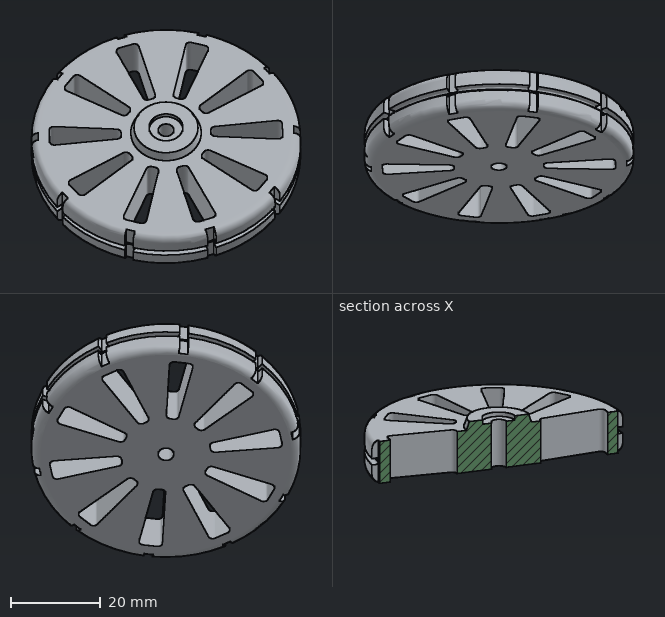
import cadquery as cq
import math

disc_diameter = 60.0
disc_radius = disc_diameter / 2
total_height = 12.0
boss_height = 2.0
disc_height = total_height - boss_height
rim_fillet = 2.0

boss_base_radius = 7.85
boss_top_radius = 7.15
bore_radius = 1.75
counterbore_radius = 3.8
counterbore_depth = 1.0

spoke_count = 10
spoke_angle = 360 / spoke_count

window_inner_radius = 10.0
window_outer_radius = 26.0
window_inner_width = 2.65
window_outer_width = 5.4
window_corner_radius = 1.0

rim_slot_width = 2.0
rim_slot_depth = 1.5

groove_width = 1.5
groove_depth = 1.5
groove_corner_radius = 0.55


def make_disc():
    disc = cq.Workplane("XY").circle(disc_radius).extrude(disc_height)
    return disc.faces("<Z or >Z").edges().fillet(rim_fillet)


def make_boss():
    taper = math.degrees(math.atan2(boss_base_radius - boss_top_radius, boss_height))
    boss = cq.Workplane("XY").workplane(offset=disc_height).circle(boss_base_radius)
    return boss.extrude(boss_height, taper=taper)


def make_bore():
    bore = cq.Workplane("XY").circle(bore_radius).extrude(total_height)
    counterbore_floor = total_height - counterbore_depth
    counterbore = cq.Workplane("XY").workplane(offset=counterbore_floor).circle(counterbore_radius)
    return bore.union(counterbore.extrude(counterbore_depth))


def make_window():
    outline = [
        (-window_inner_width / 2, window_inner_radius),
        (window_inner_width / 2, window_inner_radius),
        (window_outer_width / 2, window_outer_radius),
        (-window_outer_width / 2, window_outer_radius),
    ]
    window = cq.Workplane("XY").polyline(outline).close().extrude(disc_height)
    return window.edges("|Z").fillet(window_corner_radius)


def make_rim_slot():
    slot = cq.Workplane("XY").center(0, disc_radius)
    return slot.rect(rim_slot_width, 2 * rim_slot_depth).extrude(disc_height)


def make_groove():
    floor_radius = disc_radius - groove_depth
    ring = cq.Workplane("XY").workplane(offset=(disc_height - groove_width) / 2)
    ring = ring.circle(disc_radius).circle(floor_radius).extrude(groove_width)
    floor_edges = ring.edges(cq.selectors.RadiusNthSelector(0))
    return floor_edges.fillet(groove_corner_radius)


result = make_disc().union(make_boss()).cut(make_bore()).cut(make_groove())

for index in range(spoke_count):
    for cutter in (make_window(), make_rim_slot()):
        result = result.cut(cutter.rotate((0, 0, 0), (0, 0, 1), index * spoke_angle))